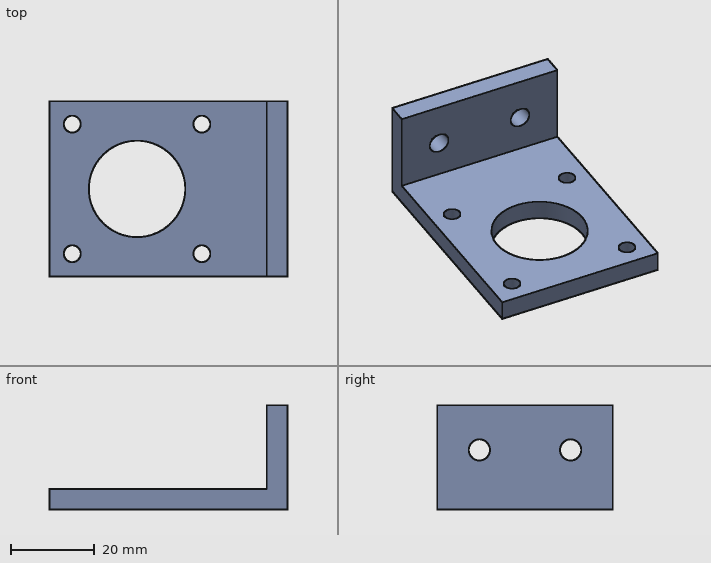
import cadquery as cq

length = 57.0
width = 42.0
height = 25.0
thickness = 5.0

bore_diameter = 23.0
bore_from_end = 21.0
base_hole_diameter = 4.0
base_hole_spacing = 31.0

wall_hole_diameter = 5.0
wall_hole_spacing = 21.85
wall_hole_height = 14.3


def make_bracket():
    """L-shaped bracket: flat base with an upright wall at the +X end."""
    base = cq.Workplane("XY").box(length, width, thickness, centered=(False, True, False))
    wall = (
        cq.Workplane("XY")
        .box(thickness, width, height, centered=(False, True, False))
        .translate((length - thickness, 0, 0))
    )
    return base.union(wall)


def make_base_holes():
    """Central bore with four mounting holes in a square around it."""
    center_plane = cq.Workplane("XY", origin=(bore_from_end, 0, 0))
    bore = center_plane.circle(bore_diameter / 2).extrude(thickness)
    mounting_holes = (
        center_plane.rect(base_hole_spacing, base_hole_spacing, forConstruction=True)
        .vertices()
        .circle(base_hole_diameter / 2)
        .extrude(thickness)
    )
    return bore.union(mounting_holes)


def make_wall_holes():
    """Pair of holes through the upright wall, symmetric about its middle."""
    half_spacing = wall_hole_spacing / 2
    return (
        cq.Workplane("YZ", origin=(length - thickness, 0, wall_hole_height))
        .pushPoints([(-half_spacing, 0), (half_spacing, 0)])
        .circle(wall_hole_diameter / 2)
        .extrude(thickness)
    )


result = make_bracket().cut(make_base_holes()).cut(make_wall_holes())